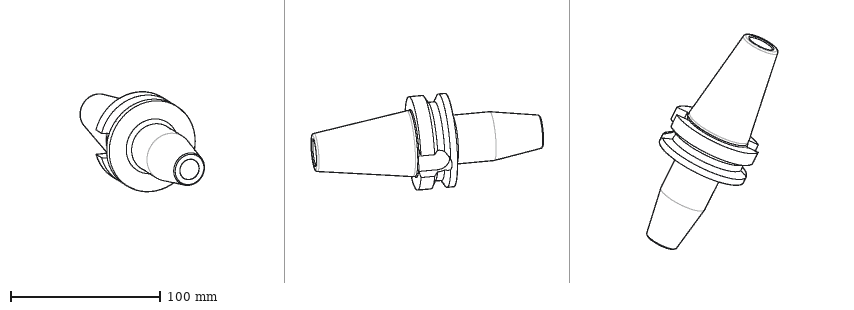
import cadquery as cq

length = 154.4

gauge_x = 65.2
gauge_radius = 22.2
taper_ratio = 7 / 48
shank_end_radius = gauge_radius - taper_ratio * gauge_x
shank_end_round = 1.4

flange_start = 67.5
flange_end = 92.2
flange_radius = 63.0 / 2
neck_fillet = 0.8
groove_start = 76.7
groove_floor_start = 79.7
groove_floor_end = 84.5
groove_end = 87.5
groove_radius = 26.5

shoulder_radius = 19.0
shoulder_end = 95.4
nose_radius = 16.5
nose_taper_start = 121.0
tip_radius = 11.3
tip_chamfer = 0.8

shank_bore_radius = 17.1 / 2
shank_bore_depth = 7.1
shank_bore_chamfer = 0.8
mid_bore_radius = 14.2 / 2
mid_bore_depth = 69.5
core_radius = 12.7 / 2
tool_bore_radius = 13.9 / 2
tool_bore_depth = 46.3
tool_mouth_radius = 14.2 / 2

slot_width = 17.0
slot_floor = 22.4
slot_end = 88.5


def make_body():
    """Revolve the outer profile around the X axis."""
    profile = (
        cq.Workplane("XY")
        .lineTo(0, shank_end_radius)
        .lineTo(gauge_x, gauge_radius)
        .lineTo(flange_start - neck_fillet, gauge_radius)
        .radiusArc((flange_start, gauge_radius + neck_fillet), -neck_fillet)
        .lineTo(flange_start, flange_radius)
        .lineTo(groove_start, flange_radius)
        .lineTo(groove_floor_start, groove_radius)
        .lineTo(groove_floor_end, groove_radius)
        .lineTo(groove_end, flange_radius)
        .lineTo(flange_end, flange_radius)
        .lineTo(flange_end, shoulder_radius)
        .lineTo(shoulder_end, nose_radius)
        .lineTo(nose_taper_start, nose_radius)
        .lineTo(length - tip_chamfer, tip_radius)
        .lineTo(length, tip_radius - tip_chamfer)
        .lineTo(length, 0)
        .close()
    )
    body = profile.revolve(360, (0, 0, 0), (1, 0, 0))
    return body.faces("<X").edges().fillet(shank_end_round)


def make_bore():
    """Revolve the stepped bore: shank counterbore, middle bore, core hole and tool bore."""
    mouth_flare = tool_mouth_radius - tool_bore_radius
    profile = (
        cq.Workplane("XY")
        .lineTo(0, shank_bore_radius + shank_bore_chamfer)
        .lineTo(shank_bore_chamfer, shank_bore_radius)
        .lineTo(shank_bore_depth, shank_bore_radius)
        .lineTo(shank_bore_depth, mid_bore_radius)
        .lineTo(mid_bore_depth, mid_bore_radius)
        .lineTo(mid_bore_depth, core_radius)
        .lineTo(length - tool_bore_depth, core_radius)
        .lineTo(length - tool_bore_depth, tool_bore_radius)
        .lineTo(length - mouth_flare, tool_bore_radius)
        .lineTo(length, tool_mouth_radius)
        .lineTo(length, 0)
        .close()
    )
    return profile.revolve(360, (0, 0, 0), (1, 0, 0))


def make_drive_slot(side):
    """Flat-floored slot with a round end; side is -1 or +1 along Y."""
    half_width = slot_width / 2
    slot_start = flange_start - neck_fillet
    arc_start = slot_end - half_width
    outline = (
        cq.Workplane("XZ", origin=(0, side * slot_floor, 0))
        .moveTo(slot_start, -half_width)
        .lineTo(arc_start, -half_width)
        .threePointArc((slot_end, 0), (arc_start, half_width))
        .lineTo(slot_start, half_width)
        .close()
    )
    return outline.extrude(-side * flange_radius)


result = make_body().cut(make_bore())
for side in (-1, 1):
    result = result.cut(make_drive_slot(side))